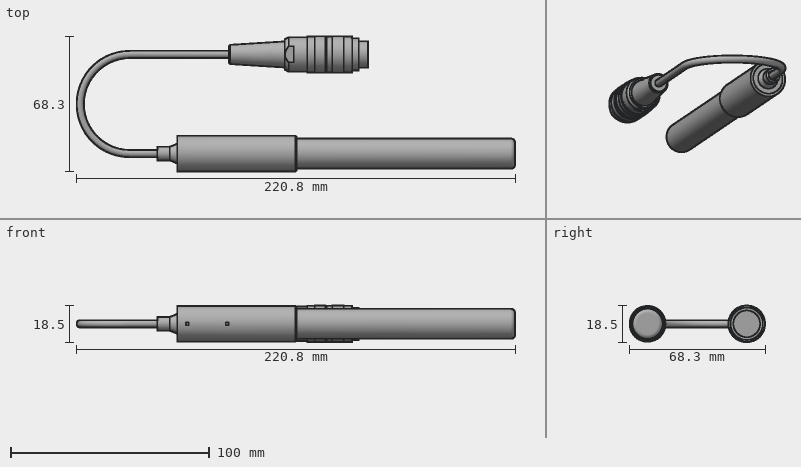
import cadquery as cq

overall_length = 220.8
cable_diameter = 3.8
bend_radius = 25.0
probe_y = 0.0
connector_y = 2 * bend_radius

gland_start = 14.0
gland_diameter = 7.0
gland_bore_diameter = 4.6
gland_straight_length = 6.2
gland_flare_length = 3.8
gland_flare_middle_diameter = 8.5
gland_flare_diameter = 10.2
sleeve_length = 60.0
sleeve_diameter = 18.0
sleeve_chamfer = 0.7
screw_hole_diameter = 1.7
screw_hole_inset = 5.0
screw_hole_spacing = 20.0
screw_hole_count = 2
tube_diameter = 15.2
tube_end_fillet = 2.2

boot_start = 50.0
boot_length = 28.0
boot_rear_diameter = 9.7
boot_front_diameter = 13.3
boot_rear_chamfer = 0.7
shell_rear_diameter = 15.2
shell_diameter = 17.5
shell_chamfer_length = 2.0
shell_body_length = 9.3
core_diameter = 16.3
core_overhang = 3.3
nose_diameter = 13.5
nose_length = 4.6
width_across_flats = 15.5
flat_length = 4.6
ring_length = 22.7
ring_diameter = 18.3
band_diameter = 18.5
rear_band_offset = 4.0
rear_band_length = 5.3
front_band_offset = 12.5
front_band_length = 6.0
groove_diameter = 18.0
groove_width = 0.7

bend_outer_radius = bend_radius + cable_diameter / 2
gland_length = gland_straight_length + gland_flare_length
sleeve_start = gland_start + gland_length
tube_length = overall_length - bend_outer_radius - sleeve_start
shell_start = boot_start + boot_length
ring_start = shell_start + shell_chamfer_length + shell_body_length


def cylinder(start_x, axis_y, diameter, length):
    """Solid cylinder along +X."""
    plane = cq.Workplane("YZ", origin=(start_x, axis_y, 0))
    return plane.circle(diameter / 2).extrude(length)


def cone(start_x, axis_y, start_diameter, end_diameter, length):
    """Solid frustum along +X."""
    profile = (
        cq.Workplane("XY", origin=(start_x, axis_y, 0))
        .lineTo(0, start_diameter / 2)
        .lineTo(length, end_diameter / 2)
        .lineTo(length, 0)
        .close()
    )
    return profile.revolve(360, (0, 0, 0), (1, 0, 0))


def make_cable():
    """Cable with two straight ends joined by a half-circle bend."""
    path = (
        cq.Workplane("XY")
        .moveTo(sleeve_start, probe_y)
        .lineTo(0, probe_y)
        .threePointArc((-bend_radius, bend_radius), (0, connector_y))
        .lineTo(boot_start, connector_y)
    )
    section = cq.Workplane("YZ", origin=(sleeve_start, probe_y, 0)).circle(cable_diameter / 2)
    return section.sweep(path)


def make_gland():
    """Bored short cylinder that flares out to meet the probe's rear face."""
    profile = (
        cq.Workplane("XY", origin=(gland_start, probe_y, 0))
        .moveTo(0, gland_bore_diameter / 2)
        .lineTo(0, gland_diameter / 2)
        .lineTo(gland_straight_length, gland_diameter / 2)
        .threePointArc(
            (gland_straight_length + gland_flare_length / 2, gland_flare_middle_diameter / 2),
            (gland_length, gland_flare_diameter / 2),
        )
        .lineTo(gland_length, gland_bore_diameter / 2)
        .close()
    )
    return profile.revolve(360, (0, 0, 0), (1, 0, 0))


def make_sleeve():
    """Grip sleeve around the tube, with two screw holes through its -Y wall."""
    sleeve = cylinder(sleeve_start, probe_y, sleeve_diameter, sleeve_length)
    sleeve = sleeve.faces(">X").edges().chamfer(sleeve_chamfer)
    for index in range(screw_hole_count):
        hole_x = sleeve_start + screw_hole_inset + index * screw_hole_spacing
        hole = (
            cq.Workplane("XZ", origin=(hole_x, probe_y, 0))
            .circle(screw_hole_diameter / 2)
            .extrude(sleeve_diameter)
        )
        sleeve = sleeve.cut(hole)
    return sleeve.cut(cylinder(sleeve_start, probe_y, tube_diameter, sleeve_length))


def make_tube():
    """Sensor tube from the sleeve's rear face to the rounded tip."""
    tube = cylinder(sleeve_start, probe_y, tube_diameter, tube_length)
    return tube.faces(">X").edges().fillet(tube_end_fillet)


def make_boot():
    """Tapered strain relief between cable and shell."""
    boot = cone(boot_start, connector_y, boot_rear_diameter, boot_front_diameter, boot_length)
    return boot.faces("<X").edges().chamfer(boot_rear_chamfer)


def make_shell():
    """Connector shell with two wrench flats, and the stepped core that carries the ring."""
    shell = cone(shell_start, connector_y, shell_rear_diameter, shell_diameter, shell_chamfer_length)
    body_start = shell_start + shell_chamfer_length
    shell = shell.union(cylinder(body_start, connector_y, shell_diameter, shell_body_length))
    for side in (-1, 1):
        cutter_z = side * (width_across_flats + shell_diameter) / 2
        flat_end = shell_start + flat_length
        cutter = cq.Workplane("XY").box(2 * flat_length, shell_diameter, shell_diameter)
        shell = shell.cut(cutter.translate((flat_end - flat_length, connector_y, cutter_z)))
    shell = shell.union(cylinder(ring_start, connector_y, core_diameter, ring_length + core_overhang))
    nose_start = ring_start + ring_length + core_overhang
    return shell.union(cylinder(nose_start, connector_y, nose_diameter, nose_length))


def make_ring():
    """Coupling ring with two raised grip bands and a narrow groove ahead of the rear band."""
    ring = cylinder(ring_start, connector_y, ring_diameter, ring_length)
    bands = ((rear_band_offset, rear_band_length), (front_band_offset, front_band_length))
    for offset, length in bands:
        ring = ring.union(cylinder(ring_start + offset, connector_y, band_diameter, length))
    groove_start = ring_start + rear_band_offset + rear_band_length
    groove = cylinder(groove_start, connector_y, ring_diameter, groove_width)
    groove = groove.cut(cylinder(groove_start, connector_y, groove_diameter, groove_width))
    ring = ring.cut(groove)
    return ring.cut(cylinder(ring_start, connector_y, core_diameter, ring_length))


cable = make_cable()
gland = make_gland()
sleeve = make_sleeve()
tube = make_tube()
boot = make_boot()
shell = make_shell()
ring = make_ring()

result = cq.Compound.makeCompound(
    [cable.val(), gland.val(), sleeve.val(), tube.val(), boot.val(), shell.val(), ring.val()]
)